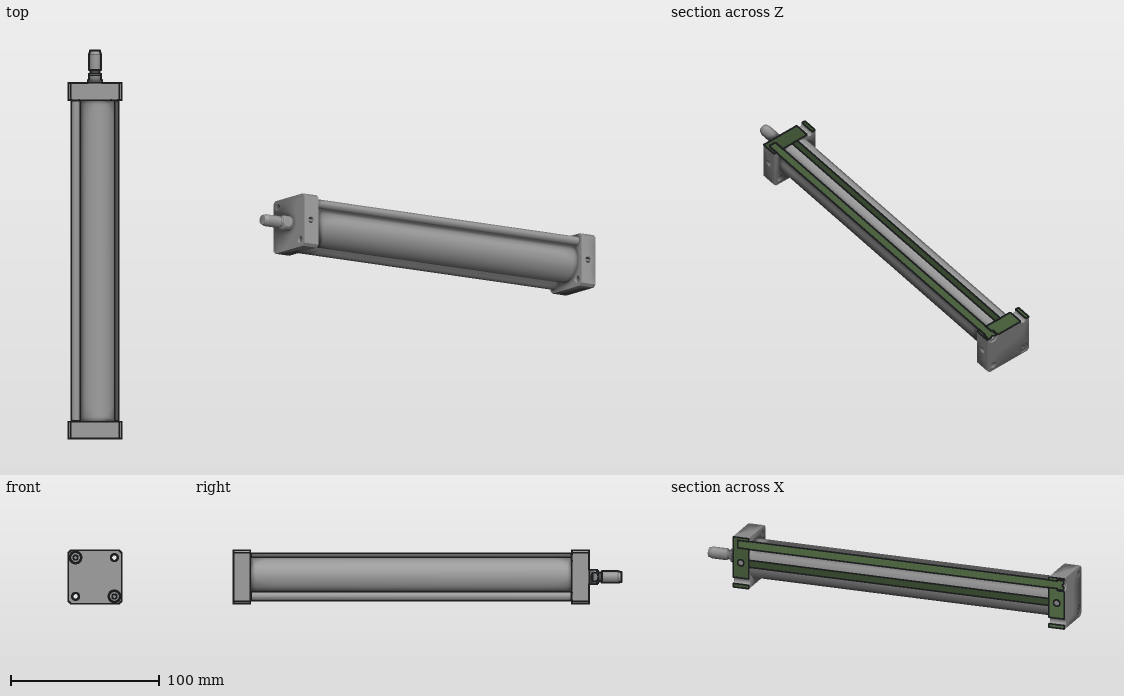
import cadquery as cq

overall_length = 261.0

cap_side = 36.0
cap_thickness = 11.5
cap_corner_chamfer = 1.8
corner_offset = 13.0
hole_diameter = 4.2
hole_mouth_diameter = 5.0
port_depth = 5.2
port_bar_diameter = 2.0
port_bar_depth = 2.0

tie_rod_diameter = 6.0
tie_rod_end_chamfer = 0.5
tie_rod_shank_diameter = 5.0
tie_rod_front_grip = 7.8
head_bore_diameter = 8.0
head_bore_depth = 5.2
head_diameter = 7.0
head_recess = 0.5
center_mark_diameter = 3.1
center_mark_depth = 1.0

barrel_diameter = 26.5

rod_diameter = 10.0
rod_projection = 22.0
rod_collar_length = 6.5
rod_collar_chamfer = 1.3
wrench_flat_width = 8.0
wrench_flat_gap = 1.5
wrench_flat_runout = 1.0
neck_diameter = 6.0
neck_length = 1.5
nose_diameter = 8.0
nose_tip_diameter = 6.5
nose_tip_length = 2.5
nose_base_chamfer = 0.8

front_cap_face = overall_length - rod_projection
front_cap_start = front_cap_face - cap_thickness
barrel_length = front_cap_start - cap_thickness
mouth_depth = (hole_mouth_diameter - hole_diameter) / 2
tie_rod_places = [(-corner_offset, corner_offset), (corner_offset, -corner_offset)]
through_hole_places = [(-corner_offset, -corner_offset), (corner_offset, corner_offset)]


def cylinder_y(diameter, start, length, x=0.0, z=0.0):
    """Cylinder along +Y from Y = start."""
    axis_start = cq.Vector(x, start, z)
    return cq.Workplane(cq.Solid.makeCylinder(diameter / 2, length, axis_start, cq.Vector(0, 1, 0)))


def revolve_y(profile):
    """Solid of revolution about Y from (radius, y) points."""
    return cq.Workplane("XY").polyline(profile).close().revolve(360, (0, 0, 0), (0, 1, 0))


def countersink(start, direction):
    """Cone that widens a hole at its mouth; start is the middle of the mouth."""
    return cq.Solid.makeCone(hole_mouth_diameter / 2, hole_diameter / 2, mouth_depth, start, direction)


def cap_blank(start):
    """Square cap with chamfered corners, two through holes and a side port."""
    middle = start + cap_thickness / 2
    cap = (
        cq.Workplane("XY")
        .box(cap_side, cap_thickness, cap_side)
        .edges("|Y")
        .chamfer(cap_corner_chamfer)
        .translate((0, middle, 0))
    )
    for x, z in through_hole_places:
        cap = cap.cut(cylinder_y(hole_diameter, start, cap_thickness, x, z))
        cap = cap.cut(countersink(cq.Vector(x, start, z), cq.Vector(0, 1, 0)))
        cap = cap.cut(countersink(cq.Vector(x, start + cap_thickness, z), cq.Vector(0, -1, 0)))
    return cap.cut(port_cutter(middle))


def port_cutter(y):
    """Blind port on the -X side, with the round bar across it left uncut."""
    mouth = cq.Vector(-cap_side / 2, y, 0)
    inward = cq.Vector(1, 0, 0)
    bore = cq.Workplane(cq.Solid.makeCylinder(hole_diameter / 2, port_depth, mouth, inward))
    bar_start = y - hole_mouth_diameter / 2
    bar = cylinder_y(port_bar_diameter, bar_start, hole_mouth_diameter, port_bar_depth - cap_side / 2)
    return bore.union(countersink(mouth, inward)).cut(bar)


def make_rear_cap():
    cap = cap_blank(0.0)
    for x, z in tie_rod_places:
        cap = cap.cut(cylinder_y(head_bore_diameter, 0.0, head_bore_depth, x, z))
        cap = cap.cut(cylinder_y(tie_rod_shank_diameter, 0.0, cap_thickness, x, z))
    return cap


def make_front_cap():
    cap = cap_blank(front_cap_start)
    cap = cap.cut(cylinder_y(rod_diameter, front_cap_start, cap_thickness))
    for x, z in tie_rod_places:
        cap = cap.cut(cylinder_y(tie_rod_shank_diameter, front_cap_start, tie_rod_front_grip, x, z))
    return cap


def make_barrel():
    return cylinder_y(barrel_diameter, cap_thickness, barrel_length)


def make_tie_rod(x, z):
    """Rod between the caps with reduced ends, a round head at the rear and a conical center mark."""
    rod = cylinder_y(tie_rod_diameter, cap_thickness, barrel_length).edges().chamfer(tie_rod_end_chamfer)
    shank_length = front_cap_start + tie_rod_front_grip - head_recess
    rod = rod.union(cylinder_y(tie_rod_shank_diameter, head_recess, shank_length))
    rod = rod.union(cylinder_y(head_diameter, head_recess, head_bore_depth - head_recess))
    center_mark = cq.Solid.makeCone(
        center_mark_diameter / 2, 0, center_mark_depth, cq.Vector(0, head_recess, 0), cq.Vector(0, 1, 0)
    )
    return rod.cut(cq.Workplane(center_mark)).translate((x, 0, z))


def make_piston_rod():
    """Rod through the front cap with a chamfered collar, neck and nose, and two wrench flats."""
    rod_radius = rod_diameter / 2
    neck_radius = neck_diameter / 2
    nose_radius = nose_diameter / 2
    collar_end = front_cap_face + rod_collar_length
    nose_start = collar_end + neck_length
    rod = revolve_y([
        (0, front_cap_start),
        (rod_radius, front_cap_start),
        (rod_radius, collar_end - rod_collar_chamfer),
        (rod_radius - rod_collar_chamfer, collar_end),
        (neck_radius, collar_end),
        (neck_radius, nose_start),
        (nose_radius - nose_base_chamfer, nose_start),
        (nose_radius, nose_start + nose_base_chamfer),
        (nose_radius, overall_length - nose_tip_length),
        (nose_tip_diameter / 2, overall_length),
        (0, overall_length),
    ])
    return rod.cut(wrench_flat_cutter(1, collar_end)).cut(wrench_flat_cutter(-1, collar_end))


def wrench_flat_cutter(side, collar_end):
    """Prism that cuts one flat, with a sloping runout toward the cap."""
    runout_start = front_cap_face + wrench_flat_gap
    rod_surface = side * rod_diameter / 2
    flat_surface = side * wrench_flat_width / 2
    profile = [
        (rod_surface, runout_start),
        (flat_surface, runout_start + wrench_flat_runout),
        (flat_surface, collar_end),
        (rod_surface, collar_end),
    ]
    prism = cq.Workplane("XY").polyline(profile).close()
    return prism.extrude(rod_diameter / 2, both=True)


rear_cap = make_rear_cap()
front_cap = make_front_cap()
barrel = make_barrel()
tie_rods = [make_tie_rod(x, z) for x, z in tie_rod_places]
piston_rod = make_piston_rod()

result = cq.Compound.makeCompound([
    rear_cap.val(),
    front_cap.val(),
    barrel.val(),
    *[tie_rod.val() for tie_rod in tie_rods],
    piston_rod.val(),
])